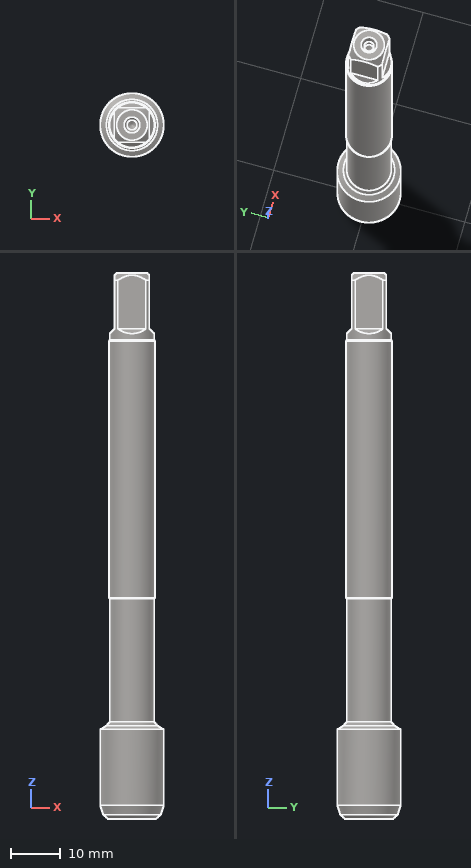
import cadquery as cq
import math

total_length = 110.0
tip_height = 0.9
lead_height = 2.8
head_height = 18.0
neck_cone_bottom = 18.8
neck_bottom = 19.6
shank_bottom = 44.5
shank_top = 96.6
square_bottom = 98.8

head_diameter = 12.9
tip_diameter = 9.7
lead_diameter = 11.7
neck_cone_diameter = 10.3
neck_diameter = 9.0
shank_diameter = 9.4
drive_diameter = 9.0
drive_end_diameter = 6.2

square_width = 7.0
shank_chamfer = 0.3
hole_diameter = 2.0
countersink_diameter = 3.2
countersink_angle = 60.0
hole_depth = 3.3
drill_point_angle = 118.0


def revolve_profile(points):
    """Revolve a closed (radius, height) outline about the Z axis."""
    return cq.Workplane("XZ").polyline(points).close().revolve(360, (0, 0), (0, 1))


def make_head():
    """Cutting head: a cylinder with a two-step tapered lead below and a bevelled shoulder above."""
    return revolve_profile([
        (0, 0),
        (tip_diameter / 2, 0),
        (lead_diameter / 2, tip_height),
        (head_diameter / 2, lead_height),
        (head_diameter / 2, head_height),
        (neck_cone_diameter / 2, neck_cone_bottom),
        (0, neck_cone_bottom),
    ])


def make_shank_blank():
    """Round shank: flared foot on the head, neck, main shank and drive end."""
    shank_step = (shank_diameter - neck_diameter) / 2
    end_chamfer = (drive_diameter - drive_end_diameter) / 2
    return revolve_profile([
        (0, neck_cone_bottom),
        (neck_cone_diameter / 2, neck_cone_bottom),
        (neck_diameter / 2, neck_bottom),
        (neck_diameter / 2, shank_bottom - shank_step),
        (shank_diameter / 2, shank_bottom),
        (shank_diameter / 2, shank_top - shank_chamfer),
        (drive_diameter / 2, shank_top),
        (drive_diameter / 2, total_length - end_chamfer),
        (drive_end_diameter / 2, total_length),
        (0, total_length),
    ])


def make_flat_cutter():
    """Material removed beside one flat; the floor falls outward at 45 degrees."""
    flat = square_width / 2
    reach = shank_diameter / 2
    return (
        cq.Workplane("XZ")
        .polyline([
            (flat, square_bottom),
            (reach, square_bottom - (reach - flat)),
            (reach, total_length),
            (flat, total_length),
        ])
        .close()
        .extrude(reach, both=True)
    )


def make_centre_hole():
    """Countersunk blind hole with a conical drill point, to be cut from the top."""
    hole_radius = hole_diameter / 2
    countersink_radius = countersink_diameter / 2
    countersink_depth = (countersink_radius - hole_radius) / math.tan(math.radians(countersink_angle / 2))
    point_depth = hole_radius / math.tan(math.radians(drill_point_angle / 2))
    return revolve_profile([
        (0, total_length),
        (countersink_radius, total_length),
        (hole_radius, total_length - countersink_depth),
        (hole_radius, total_length - hole_depth),
        (0, total_length - hole_depth - point_depth),
    ])


def make_shank():
    """Shank with a square drive and a centre hole at its top end."""
    shank = make_shank_blank()
    flat_cutter = make_flat_cutter()
    for angle in (0, 90, 180, 270):
        shank = shank.cut(flat_cutter.rotate((0, 0, 0), (0, 0, 1), angle))
    return shank.cut(make_centre_hole())


head = make_head()
shank = make_shank()
result = cq.Compound.makeCompound([head.val(), shank.val()])